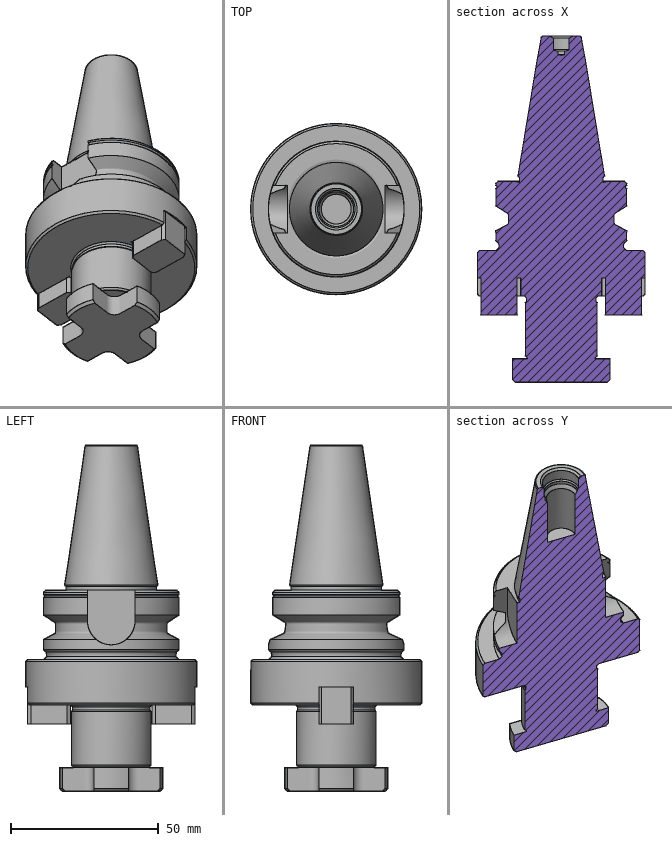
import cadquery as cq
import math

TOTAL_LENGTH = 117.4
HEAD_HEIGHT = 8.1
PILOT_BOTTOM = 8.3
DISC_BOTTOM = 29.2
DISC_TOP = 44.7
RIM_BOTTOM = 47.2
RIM_CONE_START = 51.4
GROOVE_BOTTOM = 53.7
GROOVE_TOP = 57.0
COLLAR_BOTTOM = 59.8
COLLAR_TOP = 68.2
TAPER_BOTTOM = 69.9

PILOT_RADIUS = 13.5
DISC_RADIUS = 29.0
NECK_RADIUS = 22.0
FLANGE_RADIUS = 23.0
GROOVE_RADIUS = 18.9
GROOVE_FILLET = 0.6
TAPER_RADIUS = 15.8
TAPER_RATIO = 7 / 24

SMALL_CHAMFER = 0.7
PILOT_CHAMFER = 0.6
PILOT_RELIEF_DEPTH = 0.4
PILOT_RELIEF_HEIGHT = 1.6
RELIEF_STEP = 0.6
RIM_CHAMFER = 0.8
NECK_FLARE = 0.9
NECK_HEIGHT = 0.7
COLLAR_CHAMFER = 0.8
LINE_GROOVE_DEPTH = 0.6
LINE_GROOVE_TOP = 66.7
LINE_GROOVE_BOTTOM = 65.6
TAPER_RELIEF_RADIUS = 15.4
TAPER_RELIEF_BEVEL = 0.5
TAPER_RECESS_RADIUS = 16.7
TAPER_RECESS_DEPTH = 0.4
TIP_CHAMFER = 0.4

BORE_RADIUS = 6.3
BORE_DEPTH = 4.7
BORE_CHAMFER = 0.7
BORE_STEP_RADIUS = 5.9
BORE_STEP_DEPTH = 6.3
THREAD_RADIUS = 5.0
CONE_SLOPE = math.tan(math.radians(60))
THREAD_DEPTH = 25.8

DRIVE_SLOT_WIDTH = 16.1
DRIVE_SLOT_BOTTOM = 49.7
DRIVE_SLOT_FLOOR = 16.4

KEY_WIDTH = 11.6
KEY_INNER = 13.7
KEY_OUTER = 28.4
KEY_BOTTOM = 22.8
KEY_TOP = 35.3
KEY_CHAMFER_X = 0.8
KEY_CHAMFER_Y = 1.2

HEAD_RADIUS = 17.5
HEAD_CHAMFER = 0.9
ARM_WIDTH = 11.7
ARM_FILLET = 3.2

SEARCH_MARGIN = 0.6


def revolve_profile(profile):
    """Full revolution of (radius, height) points about Z."""
    return cq.Workplane("XZ").polyline(profile).close().revolve(360, (0, 0), (0, 1))


def make_body():
    """Turned body from the pilot to the tip of the taper."""
    tip_radius = TAPER_RADIUS - (TOTAL_LENGTH - TAPER_BOTTOM) * TAPER_RATIO / 2
    relief_radius = PILOT_RADIUS - PILOT_RELIEF_DEPTH
    relief_top = DISC_BOTTOM - RELIEF_STEP
    relief_bottom = relief_top - PILOT_RELIEF_HEIGHT
    line_middle = FLANGE_RADIUS - LINE_GROOVE_DEPTH
    profile = [
        (0, HEAD_HEIGHT),
        (PILOT_RADIUS - PILOT_CHAMFER, HEAD_HEIGHT),
        (PILOT_RADIUS - PILOT_CHAMFER, PILOT_BOTTOM),
        (PILOT_RADIUS, PILOT_BOTTOM + PILOT_CHAMFER),
        (PILOT_RADIUS, relief_bottom),
        (relief_radius, relief_bottom + RELIEF_STEP),
        (relief_radius, relief_top),
        (relief_radius + RELIEF_STEP, DISC_BOTTOM),
        (DISC_RADIUS - SMALL_CHAMFER, DISC_BOTTOM),
        (DISC_RADIUS, DISC_BOTTOM + SMALL_CHAMFER),
        (DISC_RADIUS, DISC_TOP - SMALL_CHAMFER),
        (DISC_RADIUS - SMALL_CHAMFER, DISC_TOP),
        (NECK_RADIUS + NECK_FLARE, DISC_TOP),
        (NECK_RADIUS, DISC_TOP + NECK_FLARE),
        (NECK_RADIUS, DISC_TOP + NECK_FLARE + NECK_HEIGHT),
        (FLANGE_RADIUS - RIM_CHAMFER, RIM_BOTTOM),
        (FLANGE_RADIUS, RIM_BOTTOM + RIM_CHAMFER),
        (FLANGE_RADIUS, RIM_CONE_START),
        (GROOVE_RADIUS, GROOVE_BOTTOM),
        (GROOVE_RADIUS, GROOVE_TOP),
        (FLANGE_RADIUS, COLLAR_BOTTOM),
        (FLANGE_RADIUS, LINE_GROOVE_BOTTOM),
        (line_middle, (LINE_GROOVE_BOTTOM + LINE_GROOVE_TOP) / 2),
        (FLANGE_RADIUS, LINE_GROOVE_TOP),
        (FLANGE_RADIUS, COLLAR_TOP - COLLAR_CHAMFER),
        (FLANGE_RADIUS - COLLAR_CHAMFER, COLLAR_TOP),
        (TAPER_RECESS_RADIUS, COLLAR_TOP),
        (TAPER_RELIEF_RADIUS, COLLAR_TOP - TAPER_RECESS_DEPTH),
        (TAPER_RELIEF_RADIUS, TAPER_BOTTOM - TAPER_RELIEF_BEVEL),
        (TAPER_RADIUS, TAPER_BOTTOM),
        (tip_radius, TOTAL_LENGTH - TIP_CHAMFER),
        (tip_radius - TIP_CHAMFER, TOTAL_LENGTH),
        (0, TOTAL_LENGTH),
    ]
    body = revolve_profile(profile)
    groove_box = cq.selectors.BoxSelector(
        (-FLANGE_RADIUS, -FLANGE_RADIUS, GROOVE_BOTTOM - SEARCH_MARGIN),
        (FLANGE_RADIUS, FLANGE_RADIUS, GROOVE_TOP + SEARCH_MARGIN),
    )
    return body.edges("%CIRCLE").edges(groove_box).fillet(GROOVE_FILLET)


def make_bore():
    """Stepped blind bore in the end of the taper."""
    bore_bottom = TOTAL_LENGTH - BORE_DEPTH
    step_bottom = TOTAL_LENGTH - BORE_STEP_DEPTH
    cone_height = (BORE_STEP_RADIUS - THREAD_RADIUS) * CONE_SLOPE
    profile = [
        (0, TOTAL_LENGTH),
        (BORE_RADIUS + BORE_CHAMFER, TOTAL_LENGTH),
        (BORE_RADIUS, TOTAL_LENGTH - BORE_CHAMFER),
        (BORE_RADIUS, bore_bottom),
        (BORE_STEP_RADIUS, bore_bottom - (BORE_RADIUS - BORE_STEP_RADIUS)),
        (BORE_STEP_RADIUS, step_bottom),
        (THREAD_RADIUS, step_bottom - cone_height),
        (THREAD_RADIUS, TOTAL_LENGTH - THREAD_DEPTH),
        (0, TOTAL_LENGTH - THREAD_DEPTH),
    ]
    return revolve_profile(profile)


def make_drive_slot(side):
    """Round-bottomed slot cut into the flange on the given X side."""
    half_width = DRIVE_SLOT_WIDTH / 2
    arc_centre = DRIVE_SLOT_BOTTOM + half_width
    return (
        cq.Workplane("YZ", origin=(side * DRIVE_SLOT_FLOOR, 0, 0))
        .moveTo(-half_width, COLLAR_TOP)
        .lineTo(-half_width, arc_centre)
        .threePointArc((0, DRIVE_SLOT_BOTTOM), (half_width, arc_centre))
        .lineTo(half_width, COLLAR_TOP)
        .close()
        .extrude(side * (DISC_RADIUS - DRIVE_SLOT_FLOOR))
    )


def make_key_seat(side):
    """Open seat milled into the disc rim for the key on the given Y side."""
    depth = DISC_RADIUS - KEY_INNER
    return (
        cq.Workplane("XY", origin=(0, side * (KEY_INNER + depth / 2), DISC_BOTTOM))
        .rect(KEY_WIDTH, depth)
        .extrude(KEY_TOP - DISC_BOTTOM)
    )


def make_key(side):
    """Drive key with bevelled upright edges on the given Y side."""
    half_width = KEY_WIDTH / 2
    half_end = half_width - KEY_CHAMFER_X
    outline = [
        (-half_end, side * KEY_INNER),
        (half_end, side * KEY_INNER),
        (half_width, side * (KEY_INNER + KEY_CHAMFER_Y)),
        (half_width, side * (KEY_OUTER - KEY_CHAMFER_Y)),
        (half_end, side * KEY_OUTER),
        (-half_end, side * KEY_OUTER),
        (-half_width, side * (KEY_OUTER - KEY_CHAMFER_Y)),
        (-half_width, side * (KEY_INNER + KEY_CHAMFER_Y)),
    ]
    return (
        cq.Workplane("XY", origin=(0, 0, KEY_BOTTOM))
        .polyline(outline)
        .close()
        .extrude(KEY_TOP - KEY_BOTTOM)
    )


def make_screw_head():
    """Cross-shaped screw head with rounded inner corners."""
    cross = (
        cq.Workplane("XY").rect(2 * HEAD_RADIUS, ARM_WIDTH).extrude(HEAD_HEIGHT)
        .union(cq.Workplane("XY").rect(ARM_WIDTH, 2 * HEAD_RADIUS).extrude(HEAD_HEIGHT))
    )
    corner_reach = ARM_WIDTH / 2 + SEARCH_MARGIN
    inner_corners = cq.selectors.BoxSelector(
        (-corner_reach, -corner_reach, 0),
        (corner_reach, corner_reach, HEAD_HEIGHT),
    )
    cross = cross.edges("|Z").edges(inner_corners).fillet(ARM_FILLET)
    disc = cq.Workplane("XY").circle(HEAD_RADIUS).extrude(HEAD_HEIGHT).faces("<Z").chamfer(HEAD_CHAMFER)
    return cross.intersect(disc)


result = make_body().cut(make_bore())
for side in (-1, 1):
    result = result.cut(make_drive_slot(side)).cut(make_key_seat(side)).union(make_key(side))
result = result.union(make_screw_head())